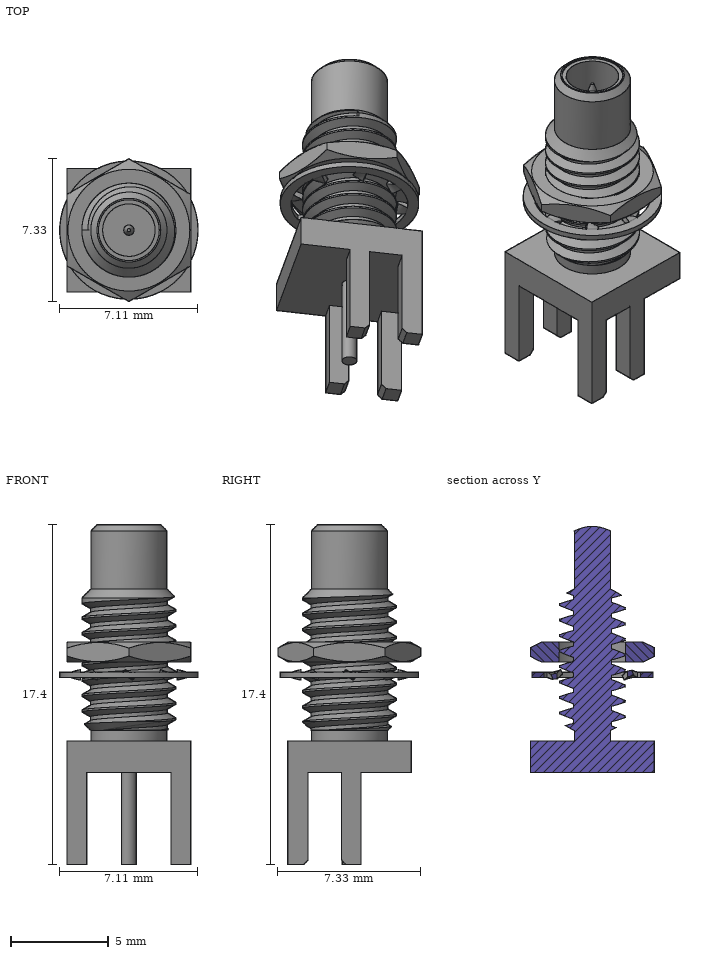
import cadquery as cq
import math


BARREL_DIAMETER = 3.91
BARREL_TOP = 11.10
BARREL_LENGTH = 3.30
RIM_OUTER_DIAMETER = 3.27
RIM_INNER_DIAMETER = 3.12
RIM_STEP_DEPTH = 0.08
BORE_DIAMETER = 2.69
BORE_DEPTH = BARREL_LENGTH

CONTACT_DIAMETER = 0.53
CONTACT_TIP_DIAMETER = 0.16
CONTACT_TIP_BELOW_RIM = 0.56
CONTACT_CONE_LENGTH = 0.55

THREAD_DIAMETER = 4.826
THREAD_ROOT_DIAMETER = 3.96
INCH = 25.4
THREADS_PER_INCH = 32
THREAD_PITCH = INCH / THREADS_PER_INCH
THREAD_FLANK_ANGLE = 30
THREAD_BOTTOM = 0.53
GROOVE_START_BELOW_RIM = 3.61
GROOVE_TURNS = 10
GROOVE_OVERCUT = 0.03

PLATE_SIDE = 6.35
PLATE_THICKNESS = 1.63
LEG_BOTTOM = -6.35
LEG_WIDTH = 1.02
REAR_LEG_DEPTH = 1.02
FRONT_LEG_DEPTH = 1.06
BOARD_SLOT = 1.70
LEG_CHAMFER = 0.24
TAIL_DIAMETER = 0.76

NUT_ACROSS_FLATS = 6.35
NUT_BOTTOM = 4.04
NUT_THICKNESS = 1.04
NUT_FACE_DIAMETER = 6.25
NUT_CHAMFER_ANGLE = 30

WASHER_DIAMETER = 7.11
WASHER_BOTTOM = 3.25
WASHER_THICKNESS = 0.28
WASHER_RING_INNER_DIAMETER = 6.0
WASHER_TOOTH_TIP_RADIUS = 2.48
WASHER_TOOTH_WIDTH = 0.59
WASHER_TOOTH_TWIST = 32
WASHER_TEETH = 8

core_radius = BARREL_DIAMETER / 2
thread_radius = THREAD_DIAMETER / 2
root_radius = THREAD_ROOT_DIAMETER / 2
thread_top = BARREL_TOP - BARREL_LENGTH
end_chamfer = thread_radius - core_radius
groove_root_width = THREAD_PITCH / 4
bore_floor = BARREL_TOP - BORE_DEPTH


def cylinder(diameter, bottom, top):
    return cq.Workplane("XY").workplane(offset=bottom).circle(diameter / 2).extrude(top - bottom)


def helical_groove():
    """60 degree thread groove that ends square on the -X side at its upper end."""

    def half_width(radius):
        return groove_root_width / 2 + (radius - root_radius) * math.tan(math.radians(THREAD_FLANK_ANGLE))

    outer = thread_radius + GROOVE_OVERCUT
    helix_height = GROOVE_TURNS * THREAD_PITCH
    helix = cq.Workplane(obj=cq.Wire.makeHelix(THREAD_PITCH, helix_height, root_radius))
    groove = (
        cq.Workplane("XZ")
        .moveTo(root_radius, -half_width(root_radius))
        .lineTo(outer, -half_width(outer))
        .lineTo(outer, half_width(outer))
        .lineTo(root_radius, half_width(root_radius))
        .close()
        .sweep(helix, isFrenet=True)
    )
    groove_end = BARREL_TOP - GROOVE_START_BELOW_RIM
    return groove.rotate((0, 0, 0), (0, 0, 1), 180).translate((0, 0, groove_end - helix_height))


def threaded_sleeve():
    """Grooved rod trimmed to the thread length, with 45 degree ends."""
    grooved_rod = cylinder(THREAD_DIAMETER, 0, BARREL_TOP).cut(helical_groove())
    thread_envelope = (
        cq.Workplane("XZ")
        .moveTo(0, THREAD_BOTTOM)
        .lineTo(core_radius, THREAD_BOTTOM)
        .lineTo(thread_radius, THREAD_BOTTOM + end_chamfer)
        .lineTo(thread_radius, thread_top - end_chamfer)
        .lineTo(core_radius, thread_top)
        .lineTo(0, thread_top)
        .close()
        .revolve(360, (0, 0, 0), (0, 1, 0))
    )
    return grooved_rod.intersect(thread_envelope)


def barrel():
    """Plain core of the connector, from the plate up to the chamfered rim."""
    rim_chamfer = (BARREL_DIAMETER - RIM_OUTER_DIAMETER) / 2
    return cylinder(BARREL_DIAMETER, 0, BARREL_TOP).faces(">Z").chamfer(rim_chamfer)


def contact():
    """Centre contact that rises from the bore floor to a blunt conical tip."""
    tip = BARREL_TOP - CONTACT_TIP_BELOW_RIM
    cone_base = tip - CONTACT_CONE_LENGTH
    return (
        cq.Workplane("XZ")
        .moveTo(0, bore_floor)
        .lineTo(CONTACT_DIAMETER / 2, bore_floor)
        .lineTo(CONTACT_DIAMETER / 2, cone_base)
        .lineTo(CONTACT_TIP_DIAMETER / 2, tip)
        .lineTo(0, tip)
        .close()
        .revolve(360, (0, 0, 0), (0, 1, 0))
    )


def mounting_plate():
    """Square plate whose side profile carries two leg rows, notched into corner legs."""
    front = -PLATE_SIDE / 2
    slot_front = front + FRONT_LEG_DEPTH
    slot_rear = slot_front + BOARD_SLOT
    rear = slot_rear + REAR_LEG_DEPTH
    chamfer_top = LEG_BOTTOM + LEG_CHAMFER
    plate_with_rows = (
        cq.Workplane("YZ")
        .moveTo(front, 0)
        .lineTo(front, LEG_BOTTOM)
        .lineTo(slot_front - LEG_CHAMFER, LEG_BOTTOM)
        .lineTo(slot_front, chamfer_top)
        .lineTo(slot_front, -PLATE_THICKNESS)
        .lineTo(slot_rear, -PLATE_THICKNESS)
        .lineTo(slot_rear, chamfer_top)
        .lineTo(slot_rear + LEG_CHAMFER, LEG_BOTTOM)
        .lineTo(rear, LEG_BOTTOM)
        .lineTo(rear, -PLATE_THICKNESS)
        .lineTo(PLATE_SIDE / 2, -PLATE_THICKNESS)
        .lineTo(PLATE_SIDE / 2, 0)
        .close()
        .extrude(PLATE_SIDE / 2, both=True)
    )
    leg_gap = (
        cq.Workplane("XY")
        .workplane(offset=LEG_BOTTOM)
        .rect(PLATE_SIDE - 2 * LEG_WIDTH, PLATE_SIDE)
        .extrude(-PLATE_THICKNESS - LEG_BOTTOM)
    )
    return plate_with_rows.cut(leg_gap)


def make_connector():
    """Threaded barrel, bored from the top, with plate, legs, tail pin and contact."""
    tail_pin = cylinder(TAIL_DIAMETER, LEG_BOTTOM, -PLATE_THICKNESS)
    rim_step = cylinder(RIM_INNER_DIAMETER, BARREL_TOP - RIM_STEP_DEPTH, BARREL_TOP)
    bore = cylinder(BORE_DIAMETER, bore_floor, BARREL_TOP)
    body = threaded_sleeve().union(barrel()).union(mounting_plate()).union(tail_pin)
    return body.cut(rim_step).cut(bore).union(contact())


def make_nut():
    """Hex nut with two flats facing X and both faces chamfered at the corners."""
    corner_radius = NUT_ACROSS_FLATS / math.sqrt(3)
    face_radius = NUT_FACE_DIAMETER / 2
    corner_drop = (corner_radius - face_radius) * math.tan(math.radians(NUT_CHAMFER_ANGLE))
    nut_top = NUT_BOTTOM + NUT_THICKNESS
    hexagon = (
        cq.Workplane("XY")
        .workplane(offset=NUT_BOTTOM)
        .polygon(6, 2 * corner_radius)
        .extrude(NUT_THICKNESS)
        .rotate((0, 0, 0), (0, 0, 1), 30)
    )
    chamfer_envelope = (
        cq.Workplane("XZ")
        .moveTo(0, NUT_BOTTOM)
        .lineTo(face_radius, NUT_BOTTOM)
        .lineTo(corner_radius, NUT_BOTTOM + corner_drop)
        .lineTo(corner_radius, nut_top - corner_drop)
        .lineTo(face_radius, nut_top)
        .lineTo(0, nut_top)
        .close()
        .revolve(360, (0, 0, 0), (0, 1, 0))
    )
    return hexagon.intersect(chamfer_envelope).cut(cylinder(THREAD_DIAMETER, NUT_BOTTOM, nut_top))


def washer_tooth():
    """One tooth on +X, centred on Z = 0: a flat root, then a blade twisted inward."""
    ring_inner_radius = WASHER_RING_INNER_DIAMETER / 2
    root_end = (ring_inner_radius + WASHER_DIAMETER / 2) / 2
    twist_start = math.sqrt(ring_inner_radius**2 - (WASHER_TOOTH_WIDTH / 2) ** 2)
    twisting_plane = cq.Plane(origin=(twist_start, 0, 0), xDir=(0, 1, 0), normal=(-1, 0, 0))

    def section():
        return cq.Workplane(twisting_plane).rect(WASHER_TOOTH_WIDTH, WASHER_THICKNESS)

    blade = section().twistExtrude(twist_start - WASHER_TOOTH_TIP_RADIUS, WASHER_TOOTH_TWIST)
    root = section().extrude(twist_start - root_end)
    return root.union(blade)


def make_washer():
    """Flat ring with evenly spaced twisted teeth that stop short of the thread."""
    middle = WASHER_BOTTOM + WASHER_THICKNESS / 2
    top = WASHER_BOTTOM + WASHER_THICKNESS
    washer = cylinder(WASHER_DIAMETER, WASHER_BOTTOM, top)
    washer = washer.cut(cylinder(WASHER_RING_INNER_DIAMETER, WASHER_BOTTOM, top))
    tooth = washer_tooth().translate((0, 0, middle))
    for index in range(WASHER_TEETH):
        washer = washer.union(tooth.rotate((0, 0, 0), (0, 0, 1), index * 360 / WASHER_TEETH))
    return washer


connector = make_connector()
nut = make_nut()
washer = make_washer()

result = cq.Compound.makeCompound([connector.val(), nut.val(), washer.val()])